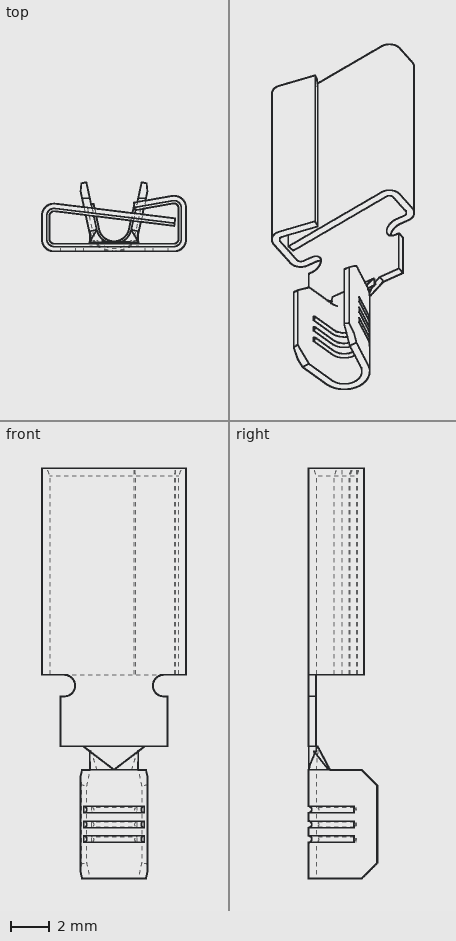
import cadquery as cq
import math

LENGTH = 21.08
SHEET = 0.4

BOX_WIDTH = 7.42
BOX_BOTTOM = 10.45
BEND_RADIUS = 0.63
LEFT_BEND_Y = 1.83
RIGHT_BEND_Y = 2.23
LEFT_FLAP_ANGLE = 7.0
RIGHT_FLAP_ANGLE = 10.0
LEFT_FLAP_LENGTH = 6.2
RIGHT_FLAP_LENGTH = 1.98
MOUTH_BEVEL = 0.15
MOUTH_BEVEL_LENGTH = 0.4

NECK_WIDTH = 5.5
NECK_BOTTOM = 6.79
NOTCH_RADIUS = 0.55
NOTCH_CENTRE_X = 2.55

CRIMP_HEIGHT = 3.56
CRIMP_LENGTH = 5.59
CRIMP_RADIUS = 1.3
ARM_LEAN = 12.2
TIP_BEVEL = 0.13
TIP_BEVEL_LENGTH = 0.4
U_CENTRE = (0, CRIMP_RADIUS)
ARM_DIRECTION = 90 - ARM_LEAN
U_END = -ARM_LEAN
ARM_CORNER = 0.82

GROOVE_PITCH = 0.75
MIDDLE_GROOVE_Z = 2.78
GROOVE_RADIUS = 0.17
RIDGE_RADIUS = 0.13
GROOVE_TOP_Y = 2.35

TONGUE_HALF_WIDTH = 1.58
TONGUE_INSET = 0.02
TROUGH_INSET = 0.05
FOLD_INSET = 0.08
FOLD_HALF_WIDTH = 1.26


def polar(centre, radius, degrees):
    """Point at a given angle on a circle."""
    angle = math.radians(degrees)
    return (centre[0] + radius * math.cos(angle), centre[1] + radius * math.sin(angle))


def box_outline(plane, thickness):
    """Closed section of the folded box, measured inward from its outer face."""
    side_x = BOX_WIDTH / 2 - BEND_RADIUS
    left_normal = 90 - LEFT_FLAP_ANGLE
    right_normal = 90 + RIGHT_FLAP_ANGLE
    bends = [
        ((-side_x, LEFT_BEND_Y), left_normal, 180),
        ((-side_x, BEND_RADIUS), 180, 270),
        ((side_x, BEND_RADIUS), 270, 360),
        ((side_x, RIGHT_BEND_Y), 0, right_normal),
    ]

    def flap_tips(radius):
        left_root = polar(bends[0][0], radius, left_normal)
        right_root = polar(bends[-1][0], radius, right_normal)
        left_tip = polar(left_root, LEFT_FLAP_LENGTH, -LEFT_FLAP_ANGLE)
        right_tip = polar(right_root, RIGHT_FLAP_LENGTH, 180 + RIGHT_FLAP_ANGLE)
        return left_tip, right_tip

    outer_left, outer_right = flap_tips(BEND_RADIUS)
    inner_radius = BEND_RADIUS - thickness
    inner_left, inner_right = flap_tips(inner_radius)

    outline = plane.moveTo(*outer_left)
    for centre, start, end in bends:
        outline = outline.lineTo(*polar(centre, BEND_RADIUS, start)).threePointArc(
            polar(centre, BEND_RADIUS, (start + end) / 2), polar(centre, BEND_RADIUS, end))
    outline = outline.lineTo(*outer_right).lineTo(*inner_right)
    for centre, start, end in reversed(bends):
        outline = outline.lineTo(*polar(centre, inner_radius, end)).threePointArc(
            polar(centre, inner_radius, (start + end) / 2), polar(centre, inner_radius, start))
    return outline.lineTo(*inner_left).close()


def make_box():
    bevel_start = LENGTH - MOUTH_BEVEL_LENGTH
    body = box_outline(cq.Workplane("XY", origin=(0, 0, BOX_BOTTOM)), SHEET)
    body = body.extrude(bevel_start - BOX_BOTTOM)
    mouth = box_outline(cq.Workplane("XY", origin=(0, 0, bevel_start)), SHEET)
    mouth = box_outline(mouth.workplane(offset=MOUTH_BEVEL_LENGTH), SHEET - MOUTH_BEVEL)
    return body.union(mouth.loft(ruled=True, combine=True))


def floor_plate(points, front_y=0.0):
    """Plate lying on the floor, from an outline in X and Z."""
    plane = cq.Workplane("XZ", origin=(0, front_y, 0))
    return plane.polyline(points).close().extrude(front_y - SHEET)


def make_neck():
    half = NECK_WIDTH / 2
    neck = floor_plate([(-half, NECK_BOTTOM), (half, NECK_BOTTOM), (half, BOX_BOTTOM), (-half, BOX_BOTTOM)])
    notch_z = BOX_BOTTOM - NOTCH_RADIUS
    slot_length = 4 * NOTCH_RADIUS
    for side in (-1, 1):
        slot_x = side * (NOTCH_CENTRE_X + slot_length / 2 - NOTCH_RADIUS)
        notch = cq.Workplane("XZ").center(slot_x, notch_z).slot2D(slot_length, 2 * NOTCH_RADIUS)
        neck = neck.cut(notch.extrude(-SHEET))
    return neck


def mirrored(point):
    return (-point[0], point[1])


def arm_point(inset, distance):
    """Point on the right arm, inset from its outer face, measured along it from the U."""
    return polar(polar(U_CENTRE, CRIMP_RADIUS - inset, U_END), distance, ARM_DIRECTION)


def u_path(plane, inset, distance):
    """Open path following the U from the left arm to the right arm."""
    start = arm_point(inset, 0)
    end = arm_point(inset, distance)
    return (plane.moveTo(*mirrored(end)).lineTo(*mirrored(start))
            .threePointArc((0, inset), start).lineTo(*end))


def make_crimp():
    root_inner = arm_point(SHEET, 0)
    arm_length = (CRIMP_HEIGHT - root_inner[1]) / math.cos(math.radians(ARM_LEAN))
    bevel_start = arm_length - TIP_BEVEL_LENGTH
    tip_outer = arm_point(TIP_BEVEL, arm_length)
    tip_inner = arm_point(SHEET, arm_length)

    crimp = (u_path(cq.Workplane("XY"), 0, bevel_start)
             .lineTo(*tip_outer).lineTo(*tip_inner).lineTo(*root_inner)
             .threePointArc((0, SHEET), mirrored(root_inner))
             .lineTo(*mirrored(tip_inner)).lineTo(*mirrored(tip_outer))
             .close().extrude(CRIMP_LENGTH))

    shoulder = CRIMP_HEIGHT - ARM_CORNER
    side_outline = [
        (0, 0), (shoulder, 0), (CRIMP_HEIGHT, ARM_CORNER),
        (CRIMP_HEIGHT, CRIMP_LENGTH - ARM_CORNER), (shoulder, CRIMP_LENGTH), (0, CRIMP_LENGTH),
    ]
    trim = cq.Workplane("YZ").polyline(side_outline).close().extrude(CRIMP_RADIUS * 2, both=True)
    return crimp.intersect(trim)


def u_bead(inset, radius, z):
    """Round bar bent along the U, used for a groove or a ridge."""
    outer_root_y = arm_point(0, 0)[1]
    distance = (GROOVE_TOP_Y - outer_root_y) / math.cos(math.radians(ARM_LEAN))
    path = u_path(cq.Workplane("XY", origin=(0, 0, z)), inset, distance)
    start_x, start_y = mirrored(arm_point(inset, distance))
    heading = (math.sin(math.radians(ARM_LEAN)), -math.cos(math.radians(ARM_LEAN)), 0)
    start_plane = cq.Plane(origin=(start_x, start_y, z), xDir=(0, 0, 1), normal=heading)
    return cq.Workplane(start_plane).circle(radius).sweep(path)


def press_grooves(crimp):
    """Grooves outside the crimp, each raising a ridge inside."""
    for step in (-1, 0, 1):
        z = MIDDLE_GROOVE_Z + step * GROOVE_PITCH
        crimp = crimp.union(u_bead(SHEET, RIDGE_RADIUS, z))
        crimp = crimp.cut(u_bead(0, GROOVE_RADIUS, z))
    return crimp


def make_transition():
    """Trough that flattens from the U into the neck, with a triangular tongue in front."""
    outer = arm_point(TROUGH_INSET, 0)
    inner = arm_point(SHEET, 0)
    back_y = FOLD_INSET + SHEET
    trough = (cq.Workplane("XY", origin=(0, 0, CRIMP_LENGTH))
              .moveTo(*mirrored(outer)).threePointArc((0, TROUGH_INSET), outer)
              .lineTo(*inner).threePointArc((0, SHEET), mirrored(inner)).close()
              .workplane(offset=NECK_BOTTOM - CRIMP_LENGTH)
              .moveTo(-FOLD_HALF_WIDTH, FOLD_INSET).lineTo(FOLD_HALF_WIDTH, FOLD_INSET)
              .lineTo(FOLD_HALF_WIDTH, back_y).lineTo(-FOLD_HALF_WIDTH, back_y).close()
              .loft(ruled=True, combine=True))
    tongue = floor_plate(
        [(-TONGUE_HALF_WIDTH, NECK_BOTTOM), (TONGUE_HALF_WIDTH, NECK_BOTTOM), (0, CRIMP_LENGTH)],
        TONGUE_INSET)
    return trough.union(tongue)


result = (make_box()
          .union(make_neck())
          .union(make_transition())
          .union(press_grooves(make_crimp())))